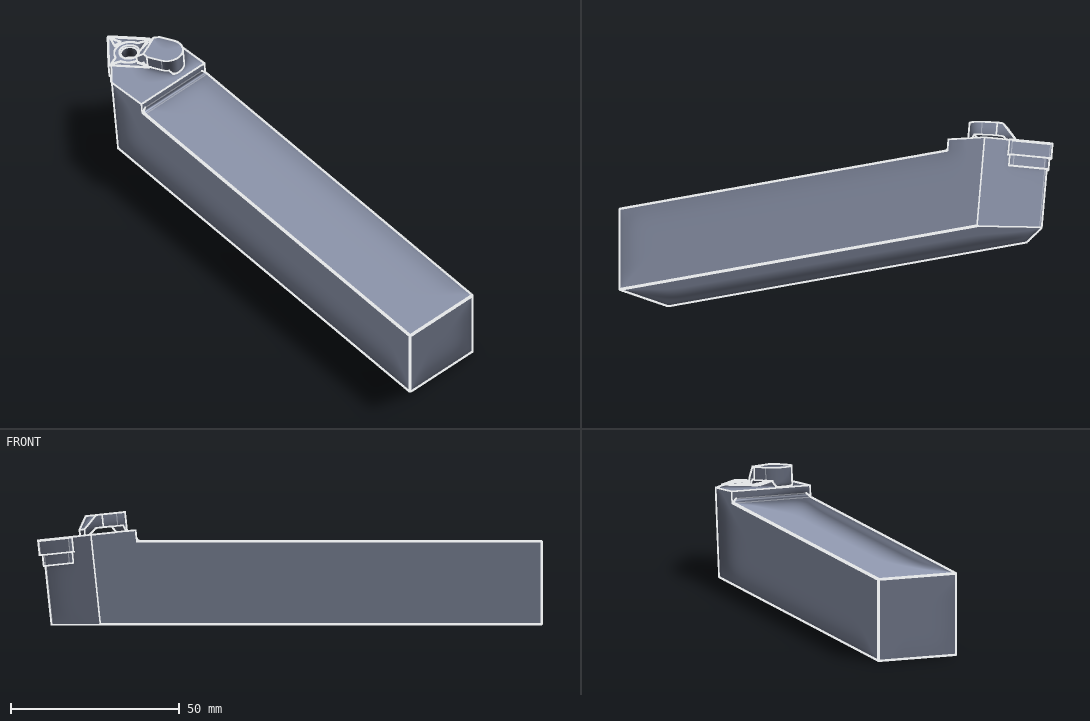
import cadquery as cq
import math

RAKE_ANGLE = 6.0
NOSE_HEIGHT = 25.1

OVERALL_LENGTH = 149.5
SHANK_SIZE = 25.0
SHANK_CHAMFER = 0.3
STEP_X = 29.0
STEP_FILLET = 1.2
HEAD_SETBACK = 1.3
HEAD_NOSE_RADIUS = 0.7

INSERT_POINT_ANGLE = 80.0
INSCRIBED_DIAMETER = 12.7
INSERT_NOSE_RADIUS = 0.7
INSERT_THICKNESS = 4.5
INSERT_HOLE_DIAMETER = 5.1
INSERT_HOLE_MOUTH_DIAMETER = 6.0
INSERT_HOLE_MOUTH_ANGLE = 90.0
LAND_WIDTH = 0.3
GROOVE_DEPTH = 0.3
PLATEAU_RADIUS = 4.5
SPIKE_HALF_WIDTH = 1.2
SPIKE_END_MARGIN = 0.9
ISLAND_GAP = 0.7

SHIM_THICKNESS = 3.3
SHIM_INSET = 0.3
SHIM_NOSE_RADIUS = 1.5

CLAMP_ANGLE = 25.0
CLAMP_CENTER_X = 22.0
CLAMP_CENTER_Y = 4.6
CLAMP_RADIUS = 4.6
CLAMP_TOP = 5.7
CLAMP_REACH = 9.5
CLAMP_NOSE_WIDTH = 3.6
CLAMP_TAPER_ANGLE = 30.0
CLAMP_NOSE_HEIGHT = 1.8
CLAMP_SLOPE_LENGTH = 3.5
ARCH_HEIGHT = 1.8
ARCH_FRONT = 8.4
ARCH_FRONT_SLOPE = 1.8
ARCH_REAR = 3.1
ARCH_REAR_SLOPE = 1.0

HALF_POINT_ANGLE = math.radians(INSERT_POINT_ANGLE / 2)
HALF_LONG_DIAGONAL = INSCRIBED_DIAMETER / 2 / math.sin(HALF_POINT_ANGLE)
HALF_SHORT_DIAGONAL = INSCRIBED_DIAMETER / 2 / math.cos(HALF_POINT_ANGLE)
NOSE_LOSS = INSERT_NOSE_RADIUS * (1 / math.sin(HALF_POINT_ANGLE) - 1)
INSERT_CENTER_X = HALF_LONG_DIAGONAL - NOSE_LOSS
LONG_RADIUS = INSERT_CENTER_X
SHORT_RADIUS = HALF_SHORT_DIAGONAL - INSERT_NOSE_RADIUS * (1 / math.cos(HALF_POINT_ANGLE) - 1)

OUTLINE_LENGTH = 2 * OVERALL_LENGTH
OUTLINE_HEIGHT = OVERALL_LENGTH


def head_top_at(x):
    """Height of the tilted top plane at a distance x behind the cutting nose."""
    return NOSE_HEIGHT + x * math.tan(math.radians(RAKE_ANGLE))


def place_in_head(body):
    """Move a body from the tilted frame to its place on the tool."""
    tilted = body.rotate((0, 0, 0), (0, 1, 0), -RAKE_ANGLE)
    return tilted.translate((0, 0, NOSE_HEIGHT))


def rhombus_prism(inset, corner_radius, top, thickness):
    """Rounded rhombus around the insert centre, hanging down from the height `top`."""
    shrink = 1 - inset / (INSCRIBED_DIAMETER / 2)
    long_half = HALF_LONG_DIAGONAL * shrink
    short_half = HALF_SHORT_DIAGONAL * shrink
    corners = [(-long_half, 0), (0, -short_half), (long_half, 0), (0, short_half)]
    prism = cq.Workplane("XY").polyline(corners).close().extrude(-thickness)
    return prism.edges("|Z").fillet(corner_radius).translate((INSERT_CENTER_X, 0, top))


def make_plateau():
    """Raised disc of the insert face, with a spike at each blunt corner and an island at each sharp one."""
    plateau = cq.Workplane("XY").circle(PLATEAU_RADIUS).extrude(-GROOVE_DEPTH)
    spike_base = PLATEAU_RADIUS * math.cos(math.asin(SPIKE_HALF_WIDTH / PLATEAU_RADIUS))
    island_base = PLATEAU_RADIUS + ISLAND_GAP
    for turn, base, corner_reach in (
        (0, island_base, LONG_RADIUS),
        (90, spike_base, SHORT_RADIUS),
        (180, island_base, LONG_RADIUS),
        (270, spike_base, SHORT_RADIUS),
    ):
        triangle = [
            (base, -SPIKE_HALF_WIDTH),
            (corner_reach - SPIKE_END_MARGIN, 0),
            (base, SPIKE_HALF_WIDTH),
        ]
        point = cq.Workplane("XY").polyline(triangle).close().extrude(-GROOVE_DEPTH)
        plateau = plateau.union(point.rotate((0, 0, 0), (0, 0, 1), turn))
    return plateau.translate((INSERT_CENTER_X, 0, 0))


def make_insert():
    """Cutting insert with a chip groove around a star-shaped plateau and a through hole."""
    blank = rhombus_prism(0, INSERT_NOSE_RADIUS, 0, INSERT_THICKNESS)
    groove = rhombus_prism(LAND_WIDTH, INSERT_NOSE_RADIUS, 0, GROOVE_DEPTH).cut(make_plateau())
    insert = blank.cut(groove)
    insert = (
        insert.faces(">Z")
        .workplane(origin=(INSERT_CENTER_X, 0, 0))
        .cskHole(INSERT_HOLE_DIAMETER, INSERT_HOLE_MOUTH_DIAMETER, INSERT_HOLE_MOUTH_ANGLE)
    )
    return place_in_head(insert)


def make_shank_and_head():
    """Square shank with a raised, pointed head whose top and flanks follow the tilt."""
    side = SHANK_SIZE / 2
    step_foot_x = STEP_X + (head_top_at(STEP_X) - SHANK_SIZE) * math.tan(math.radians(RAKE_ANGLE))
    side_profile = [
        (0, 0),
        (OVERALL_LENGTH, 0),
        (OVERALL_LENGTH, SHANK_SIZE),
        (step_foot_x, SHANK_SIZE),
        (STEP_X, head_top_at(STEP_X)),
        (0, head_top_at(0)),
    ]
    bar = cq.Workplane("XZ").polyline(side_profile).close().extrude(side, both=True)
    bar = bar.edges("|X or >X").chamfer(SHANK_CHAMFER)
    step_foot = cq.selectors.NearestToPointSelector((step_foot_x, 0, SHANK_SIZE))
    bar = bar.edges("|Y").edges(step_foot).fillet(STEP_FILLET)

    nose_slope = math.tan(HALF_POINT_ANGLE)
    sharp_nose_x = HEAD_SETBACK - HEAD_NOSE_RADIUS * (1 / math.sin(HALF_POINT_ANGLE) - 1)
    shoulder_width = nose_slope * (OUTLINE_LENGTH - sharp_nose_x)
    outline = [
        (sharp_nose_x, 0),
        (OUTLINE_LENGTH, -shoulder_width),
        (OUTLINE_LENGTH, shoulder_width),
    ]
    point = cq.Workplane("XY").polyline(outline).close().extrude(OUTLINE_HEIGHT, both=True)
    point = point.edges("|Z and <X").fillet(HEAD_NOSE_RADIUS)
    return bar.intersect(place_in_head(point))


def make_clamp():
    """Finger clamp: round tail, tapered sloping nose, arched underside with two feet."""
    half_nose = CLAMP_NOSE_WIDTH / 2
    taper_start = CLAMP_REACH - (CLAMP_RADIUS - half_nose) / math.tan(math.radians(CLAMP_TAPER_ANGLE))
    plan = (
        cq.Workplane("XY")
        .moveTo(0, CLAMP_RADIUS)
        .lineTo(-taper_start, CLAMP_RADIUS)
        .lineTo(-CLAMP_REACH, half_nose)
        .lineTo(-CLAMP_REACH, -half_nose)
        .lineTo(-taper_start, -CLAMP_RADIUS)
        .lineTo(0, -CLAMP_RADIUS)
        .threePointArc((CLAMP_RADIUS, 0), (0, CLAMP_RADIUS))
        .close()
        .extrude(CLAMP_TOP)
    )
    side_profile = [
        (-CLAMP_REACH, 0),
        (-ARCH_FRONT, 0),
        (-ARCH_FRONT + ARCH_FRONT_SLOPE, ARCH_HEIGHT),
        (ARCH_REAR - ARCH_REAR_SLOPE, ARCH_HEIGHT),
        (ARCH_REAR, 0),
        (CLAMP_RADIUS, 0),
        (CLAMP_RADIUS, CLAMP_TOP),
        (-CLAMP_REACH + CLAMP_SLOPE_LENGTH, CLAMP_TOP),
        (-CLAMP_REACH, CLAMP_NOSE_HEIGHT),
    ]
    side = cq.Workplane("XZ").polyline(side_profile).close().extrude(CLAMP_RADIUS, both=True)
    clamp = plan.intersect(side).rotate((0, 0, 0), (0, 0, 1), CLAMP_ANGLE)
    return place_in_head(clamp.translate((CLAMP_CENTER_X, CLAMP_CENTER_Y, 0)))


def make_holder():
    """Shank, head, shim and clamp as one body with a seat for the insert."""
    pocket = place_in_head(rhombus_prism(0, INSERT_NOSE_RADIUS, 0, INSERT_THICKNESS))
    shim = place_in_head(rhombus_prism(SHIM_INSET, SHIM_NOSE_RADIUS, -INSERT_THICKNESS, SHIM_THICKNESS))
    return make_shank_and_head().cut(pocket).union(shim).union(make_clamp())


holder = make_holder()
insert = make_insert()

result = cq.Compound.makeCompound([holder.solids().val(), insert.solids().val()])